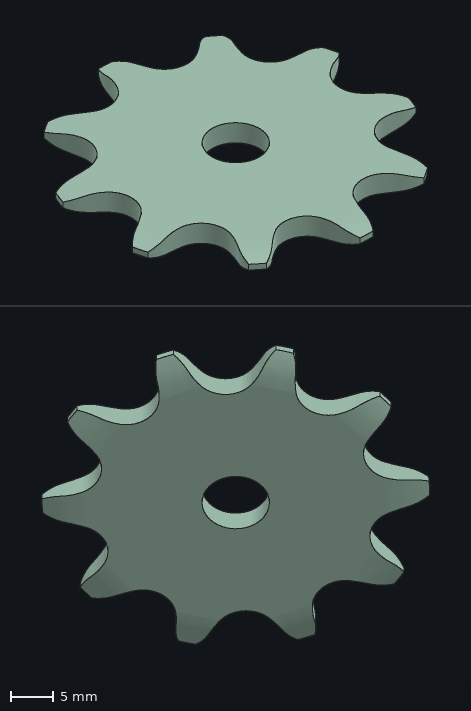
import cadquery as cq
import math

TEETH = 10
TIP_DIAMETER = 46.2
THICKNESS = 3.0
BORE_DIAMETER = 8.0
CHAIN_PITCH = 12.7
ROLLER_DIAMETER = 7.75
SEATING_RADIUS = 3.95
RELIEF_START_RADIUS = 18
RELIEF_ARC_RADIUS = 12.7

SEATING_ANGLE_BASE = 35
SEATING_ANGLE_GAIN = 60
WORKING_ANGLE_BASE = 18
WORKING_ANGLE_LOSS = 56
CROWN_ANGLE_BASE = 17
CROWN_ANGLE_LOSS = 64
WORKING_OFFSET_FACTOR = 0.8
CROWN_OFFSET_FACTOR = 1.4

tip_radius = TIP_DIAMETER / 2
half_pitch_angle = math.pi / TEETH
pitch_radius = CHAIN_PITCH / 2 / math.sin(half_pitch_angle)
seating_angle = math.radians(SEATING_ANGLE_BASE + SEATING_ANGLE_GAIN / TEETH)
working_angle = math.radians(WORKING_ANGLE_BASE - WORKING_ANGLE_LOSS / TEETH)
crown_angle = math.radians(CROWN_ANGLE_BASE - CROWN_ANGLE_LOSS / TEETH)
working_offset = WORKING_OFFSET_FACTOR * ROLLER_DIAMETER
crown_offset = CROWN_OFFSET_FACTOR * ROLLER_DIAMETER
working_radius = working_offset + SEATING_RADIUS
working_to_crown_distance = working_offset * math.cos(working_angle) + crown_offset * math.cos(crown_angle)
crown_radius = working_to_crown_distance - working_radius


def polar(radius, angle, center=(0, 0)):
    return (center[0] + radius * math.cos(angle), center[1] + radius * math.sin(angle))


def rotate(point, angle):
    return (
        point[0] * math.cos(angle) - point[1] * math.sin(angle),
        point[0] * math.sin(angle) + point[1] * math.cos(angle),
    )


def mirror(point):
    return (point[0], -point[1])


def flank_points():
    """Flank from the end of the seating arc to the tooth tip, for a roller gap centred on +X."""
    roller_center = (pitch_radius, 0)
    seating_end_angle = math.pi / 2 + seating_angle
    working_center = polar(-working_offset, seating_end_angle, roller_center)
    seating_end = polar(SEATING_RADIUS, seating_end_angle, roller_center)
    working_middle = polar(working_radius, seating_end_angle - working_angle / 2, working_center)
    line_angle = seating_end_angle - working_angle
    working_end = polar(working_radius, line_angle, working_center)

    crown_center = polar(crown_offset, math.pi / 2 + half_pitch_angle, roller_center)
    crown_start = polar(-crown_radius, line_angle, crown_center)

    center_distance = math.hypot(*crown_center)
    tip_cosine = (tip_radius**2 + center_distance**2 - crown_radius**2) / (2 * tip_radius * center_distance)
    tip_angle = math.atan2(crown_center[1], crown_center[0]) - math.acos(tip_cosine)
    crown_end = polar(tip_radius, tip_angle)
    start_direction = math.atan2(crown_start[1] - crown_center[1], crown_start[0] - crown_center[0])
    end_direction = math.atan2(crown_end[1] - crown_center[1], crown_end[0] - crown_center[0])
    crown_middle = polar(crown_radius, (start_direction + end_direction) / 2, crown_center)
    return [seating_end, working_middle, working_end, crown_start, crown_middle, crown_end]


def add_gap(outline, angle):
    """Continue the outline down one flank, round the gap, up the other and across the next tip."""
    flank = flank_points()
    up = [rotate(point, angle) for point in flank]
    down = [rotate(mirror(point), angle) for point in flank]
    seating_end, working_middle, working_end, crown_start, crown_middle, crown_end = range(len(flank))
    gap_bottom = polar(pitch_radius - SEATING_RADIUS, angle)
    tip_middle = polar(tip_radius, angle + half_pitch_angle)
    next_tip = rotate(down[crown_end], 2 * half_pitch_angle)
    return (
        outline.threePointArc(down[crown_middle], down[crown_start])
        .lineTo(*down[working_end])
        .threePointArc(down[working_middle], down[seating_end])
        .threePointArc(gap_bottom, up[seating_end])
        .threePointArc(up[working_middle], up[working_end])
        .lineTo(*up[crown_start])
        .threePointArc(up[crown_middle], up[crown_end])
        .threePointArc(tip_middle, next_tip)
    )


def toothed_disc():
    first_tip = rotate(mirror(flank_points()[-1]), half_pitch_angle)
    outline = cq.Workplane("XY").workplane(offset=-THICKNESS / 2).moveTo(*first_tip)
    for gap in range(TEETH):
        outline = add_gap(outline, (2 * gap + 1) * half_pitch_angle)
    return outline.close().extrude(THICKNESS)


def relief_envelope():
    """Disc whose rim curves in from both faces, tangent to the flats."""
    half = THICKNESS / 2

    def relief_height(radius):
        reach = radius - RELIEF_START_RADIUS
        return half - RELIEF_ARC_RADIUS + math.sqrt(RELIEF_ARC_RADIUS**2 - reach**2)

    middle_radius = (RELIEF_START_RADIUS + tip_radius) / 2
    rim = relief_height(tip_radius)
    return (
        cq.Workplane("XZ")
        .moveTo(0, -half)
        .lineTo(RELIEF_START_RADIUS, -half)
        .threePointArc((middle_radius, -relief_height(middle_radius)), (tip_radius, -rim))
        .lineTo(tip_radius, rim)
        .threePointArc((middle_radius, relief_height(middle_radius)), (RELIEF_START_RADIUS, half))
        .lineTo(0, half)
        .close()
        .revolve(360, (0, 0, 0), (0, 1, 0))
    )


bore = cq.Workplane("XY").circle(BORE_DIAMETER / 2).extrude(THICKNESS, both=True)

result = toothed_disc().intersect(relief_envelope()).cut(bore)